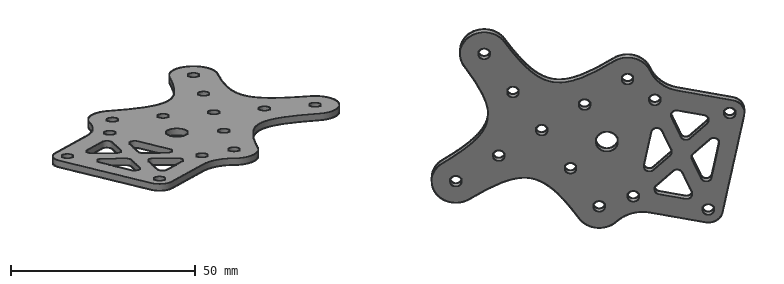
import cadquery as cq
import math

thickness = 2.0
screw_diameter = 3.2
cable_diameter = 6.0
cable_y = -18.0

arm_length = 28.0
pad_radius = 6.6
waist = 15.0
pad = arm_length * math.sqrt(0.5)
pad_shift = pad_radius * math.sqrt(0.5)
pad_inner = pad - pad_shift
pad_outer = pad + pad_shift

plate_length = 79.37
tail_half_width = 19.0
tail_corner_radius = 4.0
shoulder_radius = 10.0
tail_hole_spacing_x = 30.0
tail_hole_spacing_y = 20.7
tail_bottom = pad + pad_radius - plate_length
tail_hole_bottom = tail_bottom + tail_corner_radius
tail_center_y = tail_hole_bottom + tail_hole_spacing_y / 2

window_half_width = 13.0
window_half_height = 9.35
strut_half_width = 2.0
window_corner_radius = 1.5


def make_outline():
    """Plate with four round pads, curved waists and a rounded tail."""
    shoulder_x = tail_half_width + shoulder_radius
    center_distance = shoulder_radius + pad_radius
    run = shoulder_x - pad
    shoulder_y = -pad - math.sqrt(center_distance**2 - run**2)
    touch_ratio = pad_radius / center_distance
    touch_x = pad + run * touch_ratio
    touch_y = -pad + (shoulder_y + pad) * touch_ratio
    tail_flat = tail_half_width - tail_corner_radius

    return (
        cq.Workplane("XY")
        .moveTo(-pad_inner, pad_outer)
        .spline([(0, waist), (pad_inner, pad_outer)], tangents=[(1, -1), (1, 1)], includeCurrent=True)
        .threePointArc((pad_outer, pad_outer), (pad_outer, pad_inner))
        .spline([(waist, 0), (pad_outer, -pad_inner)], tangents=[(-1, -1), (1, -1)], includeCurrent=True)
        .tangentArcPoint((touch_x, touch_y), relative=False)
        .tangentArcPoint((tail_half_width, shoulder_y), relative=False)
        .lineTo(tail_half_width, tail_hole_bottom)
        .tangentArcPoint((tail_flat, tail_bottom), relative=False)
        .lineTo(-tail_flat, tail_bottom)
        .tangentArcPoint((-tail_half_width, tail_hole_bottom), relative=False)
        .lineTo(-tail_half_width, shoulder_y)
        .tangentArcPoint((-touch_x, touch_y), relative=False)
        .tangentArcPoint((-pad_outer, -pad_inner), relative=False)
        .spline([(-waist, 0), (-pad_outer, pad_inner)], tangents=[(1, 1), (-1, 1)], includeCurrent=True)
        .threePointArc((-pad_outer, pad_outer), (-pad_inner, pad_outer))
        .close()
        .extrude(thickness)
    )


def make_holes():
    """Screw holes along the arms and around the tail, and the larger cable hole."""
    centers = [(0, 0)]
    for side_x in (-1, 1):
        for side_y in (-1, 1):
            centers.append((side_x * pad, side_y * pad))
            centers.append((side_x * pad / 2, side_y * pad / 2))
            tail_hole_x = side_x * tail_hole_spacing_x / 2
            tail_hole_y = tail_center_y + side_y * tail_hole_spacing_y / 2
            centers.append((tail_hole_x, tail_hole_y))
    screws = cq.Workplane("XY").pushPoints(centers).circle(screw_diameter / 2).extrude(thickness)
    cable = cq.Workplane("XY").center(0, cable_y).circle(cable_diameter / 2).extrude(thickness)
    return screws.union(cable)


def make_window(corners):
    """Triangular window with rounded corners, placed from the middle of the tail."""
    return (
        cq.Workplane("XY", origin=(0, tail_center_y, 0))
        .polyline(corners)
        .close()
        .extrude(thickness)
        .edges("|Z")
        .fillet(window_corner_radius)
    )


def make_windows():
    """Four windows: left and right, above and below the crossing of the struts."""
    slope = tail_hole_spacing_y / tail_hole_spacing_x
    tip_y = strut_half_width * math.hypot(1, slope)
    tip_x = tip_y / slope
    base_half_height = slope * (window_half_width - tip_x)
    base_half_width = (window_half_height - tip_y) / slope

    windows = cq.Workplane("XY")
    for side in (-1, 1):
        base_x = side * window_half_width
        base_y = side * window_half_height
        sideways = [(side * tip_x, 0), (base_x, base_half_height), (base_x, -base_half_height)]
        upright = [(0, side * tip_y), (base_half_width, base_y), (-base_half_width, base_y)]
        windows = windows.add(make_window(sideways)).add(make_window(upright))
    return windows.combine()


result = make_outline().cut(make_holes()).cut(make_windows())